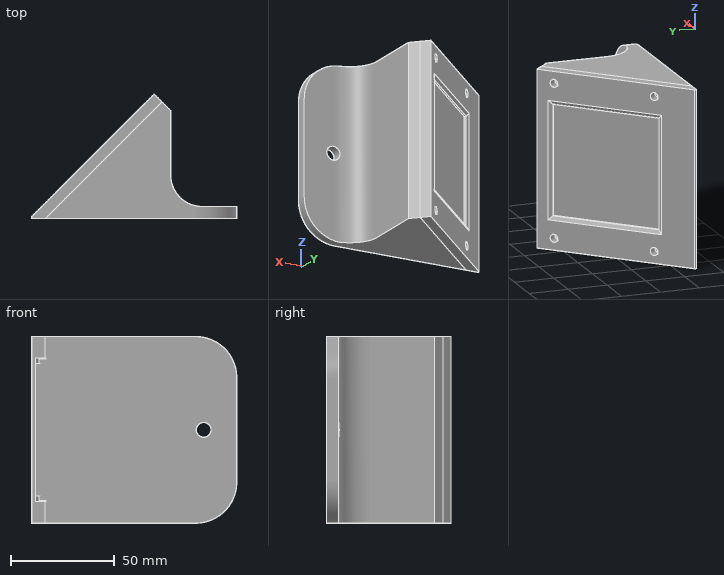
import cadquery as cq
import math

length = 98.9
depth = 60.1
height = 90.0

flange_thickness = 5.9
flange_corner_radius = 20.0
mount_hole_diameter = 7.0
mount_hole_inset = 16.0
back_x = 67.1
back_fillet_radius = 15.0

edge_land = 1.0
bezel_thickness = 5.3
lip_thickness = 2.0
screw_diameter = 4.0
screw_spacing_slope = 53.0
screw_spacing_z = 78.0

window_size = 60.1
bevel_width = 2.0
bevel_depth = 1.0
window_inner_size = window_size - 2 * bevel_width

recess_width = 69.1
plug_clearance = 0.4
plug_width = recess_width - 2 * plug_clearance
plug_nose_width = 63.9
plug_nose_thickness = 1.3

panel_size = window_size
panel_thickness = plug_nose_thickness

root2 = math.sqrt(2)
slope_length = (depth - edge_land) * root2
window_centre = 47.5
screw_centre = 48.0
recess_end = window_centre + recess_width / 2
plug_end = recess_end - plug_clearance
plug_nose_end = window_centre + plug_nose_width / 2
slope_start = -9.9


def slope_plane(distance_in):
    """Plane parallel to the sloping face: x runs up the slope, y is Z, normal points in."""
    shift = distance_in / root2
    return cq.Workplane(cq.Plane((shift, edge_land - shift, 0), (1, 1, 0), (1, -1, 0)))


def slope_block(start, end, width, near, far):
    """Block between two positions up the slope and two distances behind the face."""
    return (
        slope_plane(near)
        .center((start + end) / 2, 0)
        .rect(end - start, width)
        .extrude(far - near)
    )


def square_block(size, near, far):
    """Square block centred on the window."""
    half = size / 2
    return slope_block(window_centre - half, window_centre + half, size, near, far)


def profile_solid(profile):
    """Full-height solid from a profile in the XY plane."""
    return profile.close().extrude(height / 2, both=True)


def behind_mounting_face(body):
    """Trim away everything in front of the mounting face Y = 0."""
    keep = cq.Workplane("XY").box(length, depth, height, centered=(False, False, True))
    return body.intersect(keep)


def make_bezel():
    top_x = slope_length / root2
    seat_shift = bezel_thickness / root2
    seat_x = bezel_thickness * root2 - edge_land
    plate = profile_solid(
        cq.Workplane("XY")
        .moveTo(0, 0)
        .lineTo(seat_x, 0)
        .lineTo(top_x + seat_shift, depth - seat_shift)
        .lineTo(top_x, depth)
        .lineTo(0, edge_land)
    )
    recess = slope_block(slope_start, recess_end, recess_width, lip_thickness, bezel_thickness)
    bevel = (
        slope_plane(0)
        .center(window_centre, 0)
        .rect(window_size, window_size)
        .workplane(offset=bevel_depth)
        .rect(window_inner_size, window_inner_size)
        .loft(ruled=True)
    )
    opening = square_block(window_inner_size, 0, lip_thickness)
    screws = (
        slope_plane(0)
        .center(screw_centre, 0)
        .rect(screw_spacing_slope, screw_spacing_z, forConstruction=True)
        .vertices()
        .circle(screw_diameter / 2)
        .extrude(bezel_thickness)
    )
    return plate.cut(recess).cut(bevel).cut(opening).cut(screws)


def make_plug():
    nose_back = lip_thickness + plug_nose_thickness
    nose = slope_block(slope_start, plug_nose_end, plug_nose_width, lip_thickness, nose_back)
    base = slope_block(slope_start, plug_end, plug_width, nose_back, bezel_thickness)
    return behind_mounting_face(base.union(nose))


def make_bracket():
    seat_x = bezel_thickness * root2 - edge_land
    end_sum = slope_length / root2 + depth
    seat_top_x = (end_sum + seat_x) / 2
    fillet_x = back_x + back_fillet_radius
    fillet_y = flange_thickness + back_fillet_radius
    arc_offset = back_fillet_radius * (1 - 1 / root2)
    wedge = profile_solid(
        cq.Workplane("XY")
        .moveTo(seat_x, 0)
        .lineTo(length, 0)
        .lineTo(length, flange_thickness)
        .lineTo(fillet_x, flange_thickness)
        .threePointArc((back_x + arc_offset, flange_thickness + arc_offset), (back_x, fillet_y))
        .lineTo(back_x, end_sum - back_x)
        .lineTo(seat_top_x, seat_top_x - seat_x)
    )
    wedge = wedge.edges("|Y and >X").fillet(flange_corner_radius)
    mount_hole = (
        cq.Workplane("XZ")
        .center(length - mount_hole_inset, 0)
        .circle(mount_hole_diameter / 2)
        .extrude(-flange_thickness - back_fillet_radius)
    )
    return wedge.cut(mount_hole).union(make_plug()).cut(make_panel())


def make_panel():
    return square_block(panel_size, lip_thickness, lip_thickness + panel_thickness)


bracket = make_bracket()
bezel = make_bezel()
panel = make_panel()

result = cq.Compound.makeCompound([body.solids().val() for body in (bracket, bezel, panel)])